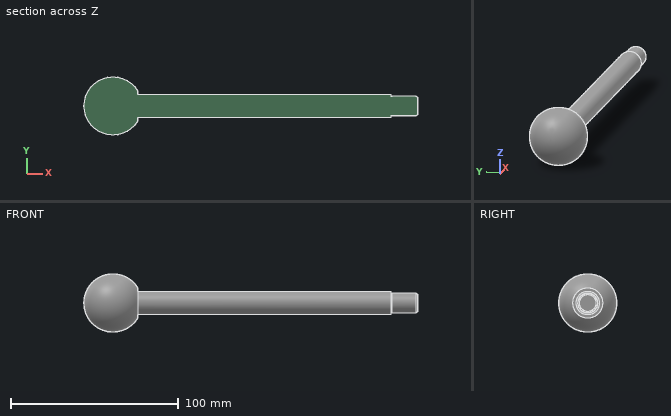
import cadquery as cq
import math

overall_length = 200.0
ball_diameter = 35.0
ball_flat_offset = 15.0
rod_diameter = 14.0
pin_diameter = 12.0
pin_length = 16.0
pin_chamfer = 1.0
relief_width = 0.5
relief_depth = 0.2

ball_radius = ball_diameter / 2
ball_flat_radius = math.sqrt(ball_radius**2 - ball_flat_offset**2)
rod_radius = rod_diameter / 2
pin_radius = pin_diameter / 2
pin_end = overall_length - ball_radius
rod_end = pin_end - pin_length
relief_end = rod_end + relief_width
relief_radius = pin_radius - relief_depth


def make_lever():
    """Revolve the half outline of ball, rod, relief groove and chamfered pin around X."""
    outline = (
        cq.Workplane("XZ")
        .moveTo(-ball_radius, 0)
        .threePointArc((0, ball_radius), (ball_flat_offset, ball_flat_radius))
        .lineTo(ball_flat_offset, rod_radius)
        .lineTo(rod_end, rod_radius)
        .lineTo(rod_end, relief_radius)
        .lineTo(relief_end, relief_radius)
        .lineTo(relief_end, pin_radius)
        .lineTo(pin_end - pin_chamfer, pin_radius)
        .lineTo(pin_end, pin_radius - pin_chamfer)
        .lineTo(pin_end, 0)
        .close()
    )
    return outline.revolve(360, (0, 0, 0), (1, 0, 0))


result = make_lever()